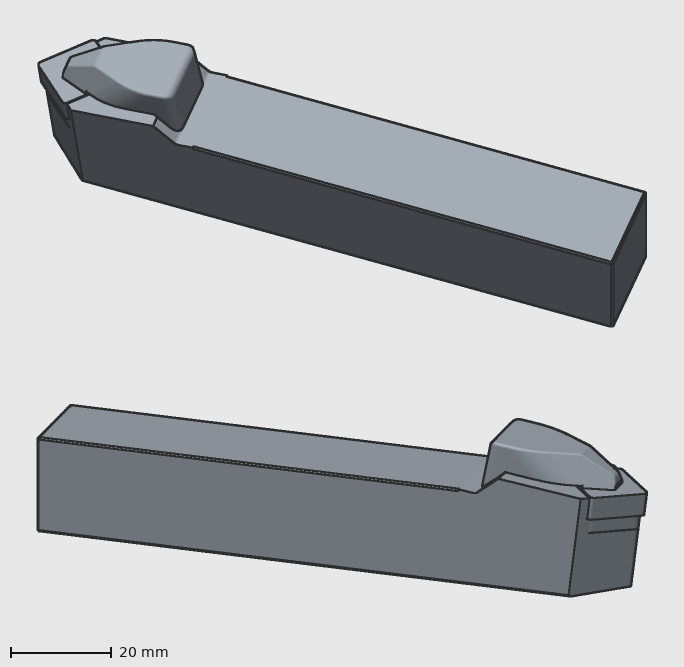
import cadquery as cq
import math

total_length = 124.7
shank_width = 20.0
shank_height = 20.0
edge_chamfer = 0.4

tilt = 7.0
tip_height = 20.1
point_half_angle = 45.0
head_setback = 0.5
head_nose_radius = 0.9
seat_drop = 0.2
ridge_u = 27.9
ramp_angle = 45.0
valley_end = 36.2
valley_radius = 1.0

insert_side = 12.7
insert_thickness = 4.7
insert_radius = 0.82
shim_side = 12.2
shim_thickness = 3.1
shim_radius = 1.4

clamp_half_width = 7.5
clamp_height = 6.0
clamp_gap = 0.4
clamp_front = 6.0
clamp_nose_height = 2.5
clamp_nose_rake = 0.6
clamp_nose_land = 0.9
clamp_crest = 13.7
clamp_pad_end = 12.0
clamp_back = 31.5
clamp_back_angle = 4.0
clamp_leg_lift = 0.4
clamp_nose_half_width = 2.4
clamp_side_angle = 26.0
clamp_side_radius = 17.5
clamp_sweep_angle = 41.0
clamp_nose_blend = 1.5
clamp_crest_blend = 1.9
clamp_corner_radius = 1.9
clamp_back_blend = 1.5
clamp_edge_radius = 0.6

tilt_sin = math.sin(math.radians(tilt))
tilt_cos = math.cos(math.radians(tilt))
corner_trim = math.sqrt(2) - 1

valley_depth = valley_end * tilt_sin + (tip_height - shank_height) * tilt_cos
ramp_slope = math.tan(math.radians(ramp_angle))
valley_u = ridge_u + (valley_depth - seat_drop) / ramp_slope

insert_center = insert_side / math.sqrt(2) - insert_radius * corner_trim
rear_corner = insert_center + insert_side / math.sqrt(2)
shim_center = rear_corner - shim_side / math.sqrt(2)


def tilted(body):
    """Move a body from the upright frame at the cutting tip to its tilted place."""
    return body.rotate((0, 0, 0), (0, 1, 0), -tilt).translate((0, 0, tip_height))


def edge_near(x, y, z):
    """Selector for the edge whose middle is nearest to a point."""
    return cq.selectors.NearestToPointSelector((x, y, z))


def corner_square(top, thickness, center, side, radius):
    """Square plate with rounded corners, one of them pointing forward, below the given height."""
    return (
        cq.Workplane("XY", origin=(center, 0, top))
        .transformed(rotate=(0, 0, point_half_angle))
        .rect(side, side)
        .extrude(-thickness)
        .edges("|Z")
        .fillet(radius)
    )


def make_insert():
    return corner_square(0, insert_thickness, insert_center, insert_side, insert_radius)


def make_shim():
    return corner_square(-insert_thickness, shim_thickness, shim_center, shim_side, shim_radius)


def make_shank():
    """Bar with chamfered edges, its front still square and tall enough for the head."""
    stock_height = shank_height + clamp_height
    bar = (
        cq.Workplane("XY")
        .box(total_length, shank_width, shank_height, centered=(False, True, False))
        .edges("|X or >X")
        .chamfer(edge_chamfer)
    )
    head_block = (
        cq.Workplane("XY")
        .box(valley_end, shank_width, stock_height, centered=(False, True, False))
        .edges("|X and <Z")
        .chamfer(edge_chamfer)
    )
    return bar.union(head_block)


def cut_head_top(body):
    """Seat plane, ramp down behind it and valley floor running out into the shank top."""
    end_u = valley_u + shank_width
    above_head = (
        cq.Workplane("XZ")
        .moveTo(-shank_width, -seat_drop)
        .lineTo(ridge_u, -seat_drop)
        .lineTo(valley_u, -valley_depth)
        .lineTo(end_u, -valley_depth)
        .lineTo(end_u, shank_height)
        .lineTo(-shank_width, shank_height)
        .close()
        .extrude(shank_width, both=True)
    )
    valley_edge = edge_near(
        valley_u * tilt_cos + valley_depth * tilt_sin,
        0,
        tip_height + valley_u * tilt_sin - valley_depth * tilt_cos,
    )
    return body.cut(tilted(above_head)).edges(valley_edge).fillet(valley_radius)


def cut_head_point(body):
    """V-shaped front with a rounded nose, its walls along the tilted frame."""
    reach = shank_width
    rear = 2 * total_length
    point = (
        cq.Workplane("XY", origin=(0, 0, -2 * shank_height))
        .moveTo(head_setback, 0)
        .lineTo(head_setback + reach, -reach)
        .lineTo(rear, -reach)
        .lineTo(rear, reach)
        .lineTo(head_setback + reach, reach)
        .close()
        .extrude(4 * shank_height)
        .edges("|Z and <X")
        .fillet(head_nose_radius)
    )
    return body.intersect(tilted(point))


def blend_profile(profile):
    """Rounded nose, crest and back edge, running across the clamp."""
    blends = (
        (clamp_crest, clamp_height, clamp_crest_blend),
        (clamp_front + clamp_nose_rake, clamp_nose_height, clamp_nose_blend),
        (clamp_back, clamp_height, clamp_back_blend),
    )
    for along, height, radius in blends:
        profile = profile.edges("|Y").edges(edge_near(along, 0, height)).fillet(radius)
    return profile


def round_back_corners(profile):
    """Rounded upright corners at the back."""
    for side in (-1, 1):
        corner = edge_near(clamp_back, side * clamp_half_width, 0)
        profile = profile.edges(corner).fillet(clamp_corner_radius)
    return profile


def round_rim(clamp):
    """Rounded rim on both sides; it follows on down the nose and around the back corners."""
    for side in (-1, 1):
        straight_rim = edge_near(clamp_back - clamp_corner_radius, side * clamp_half_width, clamp_height)
        clamp = clamp.edges(straight_rim).fillet(clamp_edge_radius)
    return clamp


def clamp_profile():
    """Sharp side outline of the clamp, carried across its full width."""
    back_run = math.tan(math.radians(clamp_back_angle))
    heel_u = ridge_u - (seat_drop + clamp_gap) / ramp_slope
    leg_depth = valley_depth - clamp_leg_lift
    leg_u = ridge_u + (leg_depth - seat_drop) / ramp_slope
    return (
        cq.Workplane("XZ")
        .moveTo(clamp_front, 0)
        .lineTo(clamp_pad_end, 0)
        .lineTo(clamp_pad_end, clamp_gap)
        .lineTo(heel_u, clamp_gap)
        .lineTo(leg_u, -leg_depth)
        .lineTo(clamp_back + back_run * (clamp_height + leg_depth), -leg_depth)
        .lineTo(clamp_back, clamp_height)
        .lineTo(clamp_crest, clamp_height)
        .lineTo(clamp_front + clamp_nose_rake, clamp_nose_height)
        .lineTo(clamp_front, clamp_nose_land)
        .close()
        .extrude(clamp_half_width, both=True)
    )


def clamp_sides():
    """Plan outline with straight nose sides, tangent arcs and parallel flanks, swept up and back."""
    angle = math.radians(clamp_side_angle)
    arc_start_y = clamp_half_width - clamp_side_radius * (1 - math.cos(angle))
    arc_start = clamp_front + (arc_start_y - clamp_nose_half_width) / math.tan(angle)
    arc_end = arc_start + clamp_side_radius * math.sin(angle)
    arc_mid = arc_end - clamp_side_radius * math.sin(angle / 2)
    arc_mid_y = clamp_half_width - clamp_side_radius * (1 - math.cos(angle / 2))
    point_u = arc_start - arc_start_y / math.tan(angle)
    rear = 2 * clamp_back
    outline = (
        cq.Workplane("XY")
        .moveTo(point_u, 0)
        .lineTo(arc_start, -arc_start_y)
        .threePointArc((arc_mid, -arc_mid_y), (arc_end, -clamp_half_width))
        .lineTo(rear, -clamp_half_width)
        .lineTo(rear, clamp_half_width)
        .lineTo(arc_end, clamp_half_width)
        .threePointArc((arc_mid, arc_mid_y), (arc_start, arc_start_y))
        .close()
    )
    lean = 1 / math.tan(math.radians(clamp_sweep_angle))
    below = valley_depth
    above = 2 * clamp_height
    sweep = cq.Vector((below + above) * lean, 0, below + above)
    sides = cq.Solid.extrudeLinear(outline.wire().val(), [], sweep)
    return cq.Workplane(obj=sides.translate(cq.Vector(-below * lean, 0, -below)))


def make_clamp():
    """Finger that bears on the insert at its nose and on the ramp at its back."""
    profile = clamp_profile()
    clamp = blend_profile(profile).intersect(round_back_corners(profile)).intersect(clamp_sides())
    return round_rim(clamp)


insert = tilted(make_insert())
holder = cut_head_point(cut_head_top(make_shank()))
holder = holder.union(tilted(make_shim())).cut(insert).union(tilted(make_clamp()))

result = cq.Compound.makeCompound([holder.solids().val(), insert.solids().val()])